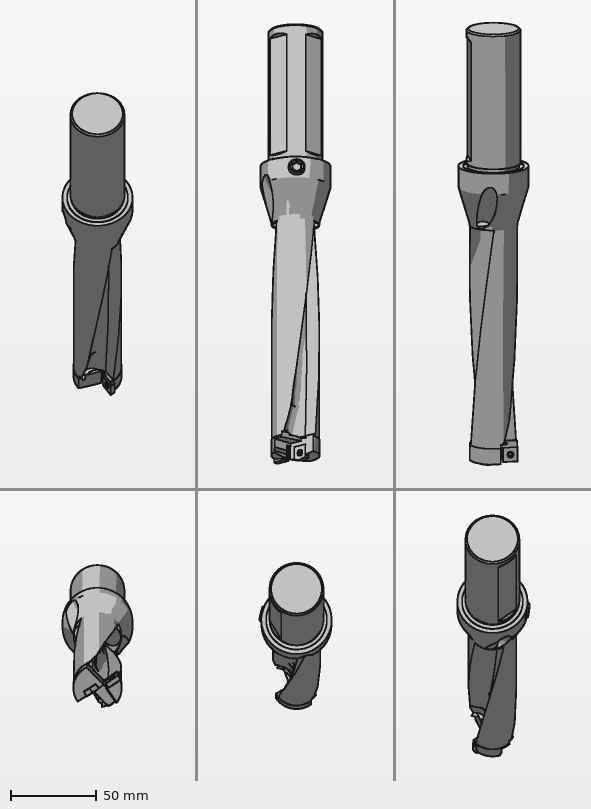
import cadquery as cq
import math

TOTAL_LENGTH = 263.0
SHANK_DIAMETER = 31.8
SHANK_RADIUS = SHANK_DIAMETER / 2
SHANK_CHAMFER = 1.0
SHANK_FLAT_DISTANCE = 14.5
SHANK_FLAT_BOTTOM = 185.5
SHANK_FLAT_TOP = 256.8

COLLAR_DIAMETER = 41.3
COLLAR_RADIUS = COLLAR_DIAMETER / 2
COLLAR_BOTTOM = 167.5
COLLAR_TOP = 180.2
COLLAR_FLAT_DISTANCE = 20.5
NECK_RADIUS = 15.3
NECK_TOP = 181.8
FACE_STEP_RADIUS = 18.0
FACE_STEP_DEPTH = 0.5

CONE_BOTTOM_RADIUS = 14.5
CONE_BOTTOM = 146.8
FLUTED_DIAMETER = 28.1
FLUTED_RADIUS = FLUTED_DIAMETER / 2
FLUTED_TOP = 144.5
TIP_BAND_RADIUS = 14.2
TIP_BAND_TOP = 12.5
RIM_HEIGHT = 3.2
TIP_CENTER_HEIGHT = 1.0

FLUTE_BOTTOM = 13.7
FLUTE_TWIST = 72.0
LEADING_EDGE_ANGLE = 187.0 - FLUTE_TWIST
TRAILING_EDGE_ANGLE = 260.0 - FLUTE_TWIST
LEADING_ROOT_ANGLE = 179.0 - FLUTE_TWIST
TRAILING_ROOT_ANGLE = 266.0 - FLUTE_TWIST
LEADING_ROOT_RADIUS = 7.5
TRAILING_ROOT_RADIUS = 6.5
WEB_RADIUS = 3.2
CUTTER_REACH = 1.3

GULLET_RADIUS = 7.4
GULLET_OFFSET = 7.0
GULLET_LEAN = 2.5
GULLET_TOP = 31.0

RUNOUT_RADIUS = 5.3
RUNOUT_START = (-6.5, -3.5, 143.5)
RUNOUT_ANGLE = 51.0
RUNOUT_LENGTH = 42.0

POCKET_TOP = 14.7
POCKET_WALL_INNER = 4.5
POCKET_WALL_OUTER = 1.8

INSERT_SIZE = 8.7
INSERT_LAND = 1.3
INSERT_THICKNESS = 3.2
INSERT_CLEARANCE_ANGLE = 7.0
OUTER_INSERT_LEFT = 5.8
OUTER_INSERT_BOTTOM = 1.0
INNER_INSERT_CENTER = 3.5
INNER_INSERT_POINT = 0.8

RELIEF_TOP = 11.3
RELIEF_STEP_TOP = 6.3
RELIEF_STEP_BOTTOM = 4.2
RELIEF_UPPER_WALL = 3.7
RELIEF_LOWER_WALL = 4.5

SCREW_SEAT_DIAMETER = 3.7
SCREW_HEAD_DIAMETER = 3.5
SCREW_SHANK_DIAMETER = 2.5
SCREW_SOCKET_DIAMETER = 2.2
SCREW_HEAD_RECESS = 0.5
SCREW_HEAD_BOTTOM = 1.8
SCREW_SOCKET_DEPTH = 0.8
SCREW_LENGTH = 6.3

PLUG_ANGLE = 135.0
PLUG_DIAMETER = 9.7
PLUG_INNER_END = 16.8
PLUG_OUTER_END = 21.5
PLUG_CHAMFER = 1.0
PLUG_SOCKET_SIDES = 6
PLUG_SOCKET_DIAMETER = 5.8
PLUG_SOCKET_DEPTH = 1.5
PLUG_HEIGHT = (COLLAR_BOTTOM + COLLAR_TOP) / 2

MARGIN = 26.3


def polar(radius, angle):
    return (radius * math.cos(math.radians(angle)), radius * math.sin(math.radians(angle)))


def half_turn(shape):
    return shape.rotate((0, 0, 0), (0, 0, 1), 180)


def turned_blank():
    outline = [
        (0, TIP_CENTER_HEIGHT),
        (TIP_BAND_RADIUS, RIM_HEIGHT),
        (TIP_BAND_RADIUS, TIP_BAND_TOP),
        (FLUTED_RADIUS, TIP_BAND_TOP),
        (FLUTED_RADIUS, FLUTED_TOP),
        (CONE_BOTTOM_RADIUS, CONE_BOTTOM),
        (COLLAR_RADIUS, COLLAR_BOTTOM),
        (COLLAR_RADIUS, COLLAR_TOP),
        (FACE_STEP_RADIUS, COLLAR_TOP),
        (FACE_STEP_RADIUS, COLLAR_TOP - FACE_STEP_DEPTH),
        (NECK_RADIUS, COLLAR_TOP - FACE_STEP_DEPTH),
        (NECK_RADIUS, NECK_TOP),
        (SHANK_RADIUS, NECK_TOP),
        (SHANK_RADIUS, TOTAL_LENGTH - SHANK_CHAMFER),
        (SHANK_RADIUS - SHANK_CHAMFER, TOTAL_LENGTH),
        (0, TOTAL_LENGTH),
    ]
    return cq.Workplane("XZ").polyline(outline).close().revolve(360, (0, 0, 0), (0, 1, 0))


def shank_flat_cutter():
    """Clamping flat on the -X side, with 45 degree ends."""
    end_run = MARGIN - SHANK_FLAT_DISTANCE
    above_neck = cq.Workplane("XY", origin=(0, 0, NECK_TOP)).circle(MARGIN).extrude(TOTAL_LENGTH)
    return (
        cq.Workplane("XZ", origin=(0, MARGIN, 0))
        .polyline([
            (-SHANK_FLAT_DISTANCE, SHANK_FLAT_BOTTOM),
            (-SHANK_FLAT_DISTANCE, SHANK_FLAT_TOP),
            (-MARGIN, SHANK_FLAT_TOP + end_run),
            (-MARGIN, SHANK_FLAT_BOTTOM - end_run),
        ])
        .close()
        .extrude(2 * MARGIN)
        .intersect(above_neck)
    )


def collar_flat_cutter():
    """Narrow flat on the -X side of the collar."""
    height = COLLAR_TOP - COLLAR_BOTTOM
    return cq.Workplane("XY").box(MARGIN, MARGIN, height, centered=(False, True, False)).translate(
        (-COLLAR_FLAT_DISTANCE - MARGIN, 0, COLLAR_BOTTOM)
    )


def flute_cutter():
    """Helical flute with two straight walls and a round root."""
    leading_root = polar(LEADING_ROOT_RADIUS, LEADING_ROOT_ANGLE)
    trailing_root = polar(TRAILING_ROOT_RADIUS, TRAILING_ROOT_ANGLE)
    middle_angle = (LEADING_EDGE_ANGLE + TRAILING_EDGE_ANGLE) / 2
    reach = CUTTER_REACH * FLUTED_RADIUS
    return (
        cq.Workplane("XY", origin=(0, 0, FLUTE_BOTTOM))
        .moveTo(*polar(reach, LEADING_EDGE_ANGLE))
        .lineTo(*leading_root)
        .threePointArc(polar(WEB_RADIUS, middle_angle), trailing_root)
        .lineTo(*polar(reach, TRAILING_EDGE_ANGLE))
        .threePointArc(polar(reach, middle_angle), polar(reach, LEADING_EDGE_ANGLE))
        .close()
        .twistExtrude(FLUTED_TOP - FLUTE_BOTTOM, FLUTE_TWIST)
    )


def gullet_cutter():
    """Widens the lower end of a flute in front of the insert pocket."""
    lower_end = cq.Vector(-GULLET_OFFSET, GULLET_OFFSET, FLUTE_BOTTOM)
    axis = cq.Vector(-GULLET_LEAN, -GULLET_LEAN, GULLET_TOP - FLUTE_BOTTOM)
    return cq.Workplane(cq.Solid.makeCylinder(GULLET_RADIUS, axis.Length, lower_end, axis))


def runout_cutter():
    """Round groove that carries a flute up and outward through the cone."""
    rise, run = math.sin(math.radians(RUNOUT_ANGLE)), math.cos(math.radians(RUNOUT_ANGLE))
    axis = cq.Vector(0, -run, rise)
    return cq.Workplane(
        cq.Solid.makeCylinder(RUNOUT_RADIUS, RUNOUT_LENGTH, cq.Vector(*RUNOUT_START), axis)
    )


def pocket_cutter():
    """Insert pocket on the +X, -Y side, open to the tip."""
    return (
        cq.Workplane("XY")
        .polyline([
            (POCKET_WALL_INNER, 0),
            (MARGIN, 0),
            (MARGIN, -TIP_BAND_RADIUS),
            (POCKET_WALL_OUTER, -TIP_BAND_RADIUS),
        ])
        .close()
        .extrude(POCKET_TOP)
    )


def inner_relief_cutter():
    """Clears the lobe in front of the inner insert, where that insert crosses the axis."""
    left = -INNER_INSERT_CENTER - INSERT_SIZE / 2
    return (
        cq.Workplane("XZ")
        .polyline([
            (left, 0),
            (left, RELIEF_TOP),
            (RELIEF_UPPER_WALL, RELIEF_TOP),
            (RELIEF_UPPER_WALL, RELIEF_STEP_TOP),
            (RELIEF_LOWER_WALL, RELIEF_STEP_BOTTOM),
            (RELIEF_LOWER_WALL, 0),
        ])
        .close()
        .extrude(-MARGIN)
    )


def outer_relief_cutter():
    """Clears the pocket floor beside the outer insert, down to the back of the insert."""
    width = OUTER_INSERT_LEFT - RELIEF_UPPER_WALL
    height = OUTER_INSERT_BOTTOM + INSERT_SIZE
    return cq.Workplane("XY").box(width, INSERT_THICKNESS, height, centered=False).translate(
        (RELIEF_UPPER_WALL, 0, 0)
    )


def screw_hole(x, z):
    """Stepped hole along +Y from the plane Y = 0."""
    seat = cq.Workplane("XZ").center(x, z).circle(SCREW_SEAT_DIAMETER / 2).extrude(-SCREW_HEAD_BOTTOM)
    bore = cq.Workplane("XZ").center(x, z).circle(SCREW_SHANK_DIAMETER / 2).extrude(-SCREW_LENGTH)
    return seat.union(bore)


def make_insert_screw(x, z):
    """Screw along +Y with a round socket, its head sunk below the plane Y = 0."""
    head = (
        cq.Workplane("XZ", origin=(0, SCREW_HEAD_RECESS, 0))
        .center(x, z)
        .circle(SCREW_HEAD_DIAMETER / 2)
        .extrude(SCREW_HEAD_RECESS - SCREW_HEAD_BOTTOM)
    )
    shank = (
        cq.Workplane("XZ", origin=(0, SCREW_HEAD_BOTTOM, 0))
        .center(x, z)
        .circle(SCREW_SHANK_DIAMETER / 2)
        .extrude(SCREW_HEAD_BOTTOM - SCREW_LENGTH)
    )
    socket = (
        cq.Workplane("XZ", origin=(0, SCREW_HEAD_RECESS, 0))
        .center(x, z)
        .circle(SCREW_SOCKET_DIAMETER / 2)
        .extrude(-SCREW_SOCKET_DEPTH)
    )
    return head.union(shank).cut(socket)


def insert_blank(outline):
    """Insert with its cutting face in the plane Y = 0 and sides drawn in behind the land."""
    land = cq.Workplane("XZ").polyline(outline).close().extrude(-INSERT_LAND)
    back = (
        cq.Workplane("XZ", origin=(0, INSERT_LAND, 0))
        .polyline(outline)
        .close()
        .extrude(INSERT_LAND - INSERT_THICKNESS, taper=INSERT_CLEARANCE_ANGLE)
    )
    return land.union(back)


def outer_insert_blank():
    right = OUTER_INSERT_LEFT + INSERT_SIZE
    top = OUTER_INSERT_BOTTOM + INSERT_SIZE
    return insert_blank([
        (OUTER_INSERT_LEFT, OUTER_INSERT_BOTTOM),
        (right, OUTER_INSERT_BOTTOM),
        (right, top),
        (OUTER_INSERT_LEFT, top),
    ])


def inner_insert_blank():
    left = INNER_INSERT_CENTER - INSERT_SIZE / 2
    right = INNER_INSERT_CENTER + INSERT_SIZE / 2
    return insert_blank([
        (left, INNER_INSERT_POINT),
        (INNER_INSERT_CENTER, 0),
        (right, INNER_INSERT_POINT),
        (right, INSERT_SIZE),
        (left, INSERT_SIZE),
    ])


def along_plug_axis(shape):
    """Turns a shape built along +Z from the drill axis into the plug direction."""
    level = shape.rotate((0, 0, 0), (0, 1, 0), 90)
    return level.rotate((0, 0, 0), (0, 0, 1), PLUG_ANGLE).translate((0, 0, PLUG_HEIGHT))


def plug_blank():
    return (
        cq.Workplane("XY", origin=(0, 0, PLUG_INNER_END))
        .circle(PLUG_DIAMETER / 2)
        .extrude(PLUG_OUTER_END - PLUG_INNER_END)
    )


def make_plug():
    plug = plug_blank().faces(">Z").chamfer(PLUG_CHAMFER)
    socket = (
        cq.Workplane("XY", origin=(0, 0, PLUG_OUTER_END - PLUG_SOCKET_DEPTH))
        .polygon(PLUG_SOCKET_SIDES, PLUG_SOCKET_DIAMETER)
        .extrude(PLUG_SOCKET_DEPTH)
    )
    return along_plug_axis(plug.cut(socket))


outer_screw_place = (
    OUTER_INSERT_LEFT + INSERT_SIZE / 2,
    OUTER_INSERT_BOTTOM + INSERT_SIZE / 2,
)
inner_screw_place = (INNER_INSERT_CENTER, INSERT_SIZE / 2)
outer_hole = screw_hole(*outer_screw_place)
inner_hole = half_turn(screw_hole(*inner_screw_place))
outer_blank = outer_insert_blank()
inner_blank = half_turn(inner_insert_blank())

outer_insert = outer_blank.cut(outer_hole)
inner_insert = inner_blank.cut(inner_hole)
insert_screws = [
    make_insert_screw(*outer_screw_place),
    half_turn(make_insert_screw(*inner_screw_place)),
]
plug = make_plug()

drill_body = turned_blank().cut(collar_flat_cutter())
shank_flat = shank_flat_cutter()
drill_body = drill_body.cut(shank_flat).cut(shank_flat.rotate((0, 0, 0), (0, 0, 1), -90))
for cutter in (flute_cutter(), gullet_cutter(), runout_cutter(), pocket_cutter()):
    drill_body = drill_body.cut(cutter).cut(half_turn(cutter))
drill_body = drill_body.cut(inner_relief_cutter()).cut(outer_relief_cutter())
plug_seat = along_plug_axis(plug_blank())
for seated in (outer_blank, inner_blank, outer_hole, inner_hole, plug_seat):
    drill_body = drill_body.cut(seated)

result = cq.Compound.makeCompound([
    drill_body.solids().val(),
    outer_insert.solids().val(),
    inner_insert.solids().val(),
    *[screw.solids().val() for screw in insert_screws],
    plug.solids().val(),
])